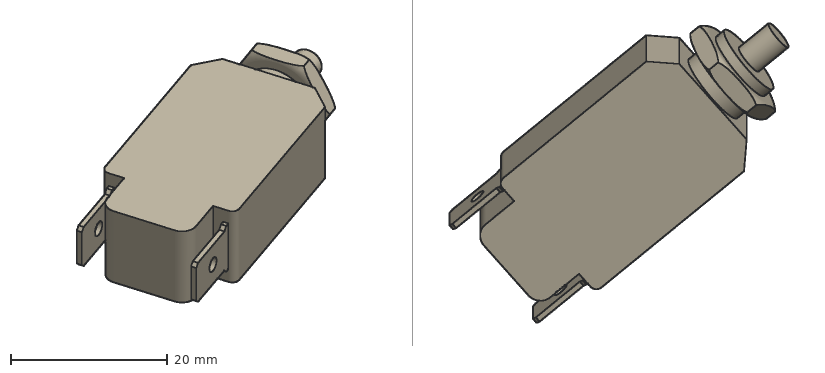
import cadquery as cq
import math

BODY_WIDTH = 19.3
BODY_HEIGHT = 11.5
BODY_LENGTH = 28.0
FRONT_CHAMFER = 3.0
REAR_CORNER_RADIUS = 1.0

TAIL_WIDTH = 12.8
TAIL_LENGTH = 6.8
TAIL_CORNER_RADIUS = 2.0

BUSHING_DIAMETER = 9.8
BUSHING_LENGTH = 6.0
ROD_DIAMETER = 4.0
ROD_PROJECTION = 5.0

NUT_ACROSS_FLATS = 13.0
NUT_THICKNESS = 2.6
NUT_GAP = 2.0
NUT_FACE_DIAMETER = 12.2
NUT_CORNER_DROP = 0.55

BLADE_THICKNESS = 0.75
BLADE_SPACING = 16.45
BLADE_LENGTH = 9.0
BLADE_WIDTH = 6.3
ROOT_STEP = 0.55
TIP_BEVEL = 0.5
ROOT_LENGTH = 0.6
ROOT_TAPER_LENGTH = 0.5
BLADE_HOLE_DIAMETER = 2.0
HOLE_TO_TIP = 4.7


def y_cylinder(diameter, length, start=0.0):
    """Cylinder along +Y beginning at Y = start."""
    plane = cq.Workplane("XZ", origin=(0, start, 0))
    return plane.circle(diameter / 2).extrude(-length)


def make_body():
    block = cq.Workplane("XY").box(BODY_WIDTH, BODY_LENGTH, BODY_HEIGHT)
    block = block.edges("|Z and >Y").chamfer(FRONT_CHAMFER)
    block = block.edges("|Z and <Y").fillet(REAR_CORNER_RADIUS)
    return block.translate((0, -BODY_LENGTH / 2, 0))


def make_tail():
    tail = cq.Workplane("XY").box(TAIL_WIDTH, TAIL_LENGTH, BODY_HEIGHT)
    tail = tail.edges("|Z and <Y").fillet(TAIL_CORNER_RADIUS)
    return tail.translate((0, -BODY_LENGTH - TAIL_LENGTH / 2, 0))


def make_nut():
    """Hexagon prism whose corners are rounded off on both faces."""
    corner_radius = NUT_ACROSS_FLATS / math.sqrt(3)
    face_radius = NUT_FACE_DIAMETER / 2
    arc_width = corner_radius - face_radius
    arc_radius = (arc_width**2 + NUT_CORNER_DROP**2) / (2 * NUT_CORNER_DROP)
    rear = NUT_GAP
    front = NUT_GAP + NUT_THICKNESS
    prism = (
        cq.Workplane("XZ", origin=(0, rear, 0))
        .polygon(6, 2 * corner_radius)
        .extrude(-NUT_THICKNESS)
    )
    envelope = (
        cq.Workplane("XY")
        .moveTo(0, front)
        .lineTo(face_radius, front)
        .radiusArc((corner_radius, front - NUT_CORNER_DROP), arc_radius)
        .lineTo(corner_radius, rear + NUT_CORNER_DROP)
        .radiusArc((face_radius, rear), arc_radius)
        .lineTo(0, rear)
        .close()
        .revolve(360, (0, 0, 0), (0, 1, 0))
    )
    return prism.intersect(envelope)


def make_blade(x_center):
    """Vertical blade pointing along -Y from the rear shoulder of the body."""
    root_y = -BODY_LENGTH
    tip_y = root_y - BLADE_LENGTH
    taper_start_y = root_y - ROOT_LENGTH
    taper_end_y = taper_start_y - ROOT_TAPER_LENGTH
    half_width = BLADE_WIDTH / 2
    root_half_width = half_width + ROOT_STEP
    upper_edge = [
        (root_y, root_half_width),
        (taper_start_y, root_half_width),
        (taper_end_y, half_width),
        (tip_y + TIP_BEVEL, half_width),
        (tip_y, half_width - TIP_BEVEL),
    ]
    lower_edge = [(y, -z) for y, z in reversed(upper_edge)]
    plane = cq.Workplane("YZ", origin=(x_center - BLADE_THICKNESS / 2, 0, 0))
    blade = plane.polyline(upper_edge + lower_edge).close().extrude(BLADE_THICKNESS)
    hole = (
        plane.center(tip_y + HOLE_TO_TIP, 0)
        .circle(BLADE_HOLE_DIAMETER / 2)
        .extrude(BLADE_THICKNESS)
    )
    return blade.cut(hole)


result = make_body().union(make_tail())
result = result.union(y_cylinder(BUSHING_DIAMETER, BUSHING_LENGTH))
result = result.union(y_cylinder(ROD_DIAMETER, ROD_PROJECTION, BUSHING_LENGTH))
result = result.union(make_nut())
for side in (-1, 1):
    result = result.union(make_blade(side * BLADE_SPACING / 2))